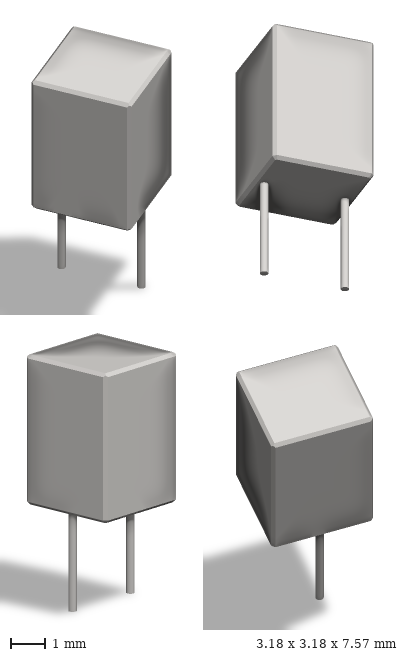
import cadquery as cq

body_side = 3.18
body_height = 4.57
edge_chamfer = 0.1

lead_diameter = 0.25
lead_spacing = 2.54
lead_length = 3.0


def make_body():
    """Block with every edge chamfered.

    The top edges are cut before the upright ones, so the three chamfers at a top corner meet in a point.
    The bottom rim is cut last and bevels the foot of each upright chamfer too.
    """
    block = cq.Workplane("XY").box(body_side, body_side, body_height, centered=(True, True, False))
    beveled_top = block.faces(">Z").edges().chamfer(edge_chamfer)
    beveled_sides = beveled_top.edges("|Z").chamfer(edge_chamfer)
    return beveled_sides.faces("<Z").edges().chamfer(edge_chamfer)


def add_leads(body):
    """Pins hanging from the underside, symmetric about the body centre."""
    lead_centers = [(-lead_spacing / 2, 0), (lead_spacing / 2, 0)]
    leads = (
        cq.Workplane("XY")
        .pushPoints(lead_centers)
        .circle(lead_diameter / 2)
        .extrude(-lead_length)
    )
    return body.union(leads)


result = add_leads(make_body())